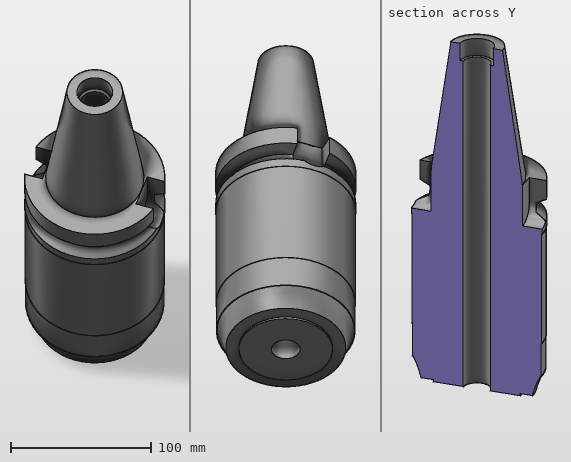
import cadquery as cq

total_height = 268.8
flange_radius = 50.0

taper_top_radius = 20.0
taper_base_radius = 35.0
taper_length = 101.3
collar_height = 1.5

flange_height = 14.8
groove_radius = 42.5
groove_cone_height = 4.0
groove_floor_height = 6.7

shoulder_height = 7.0
body_radius = 49.7

sleeve_radius = 49.5
sleeve_top_z = 43.5
nose_top_z = 17.7
nose_top_radius = 49.0
nose_mid_radius = 45.2
nose_base_radius = 42.7
pad_height = 1.5
pad_radius = 33.3

bore_radius = 10.2
counterbore_radius = 12.5
counterbore_depth = 13.5

slot_width = 25.3
slot_depth_below_flange_top = 32.3
slot_floor_x = 35.2

collar_top_z = total_height - taper_length
flange_top_z = collar_top_z - collar_height
flange_base_z = flange_top_z - flange_height
groove_top_z = flange_base_z - groove_cone_height
groove_base_z = groove_top_z - groove_floor_height
shoulder_top_z = groove_base_z - groove_cone_height
shoulder_base_z = shoulder_top_z - shoulder_height


def revolved_body():
    """Solid of revolution about Z, with a concave nose."""
    nose_mid_z = (pad_height + nose_top_z) / 2
    return (
        cq.Workplane("XZ")
        .moveTo(0, 0)
        .lineTo(pad_radius, 0)
        .lineTo(pad_radius, pad_height)
        .lineTo(nose_base_radius, pad_height)
        .threePointArc((nose_mid_radius, nose_mid_z), (nose_top_radius, nose_top_z))
        .lineTo(sleeve_radius, nose_top_z)
        .lineTo(sleeve_radius, sleeve_top_z)
        .lineTo(body_radius, sleeve_top_z)
        .lineTo(body_radius, shoulder_base_z)
        .lineTo(flange_radius, shoulder_base_z)
        .lineTo(flange_radius, shoulder_top_z)
        .lineTo(groove_radius, groove_base_z)
        .lineTo(groove_radius, groove_top_z)
        .lineTo(flange_radius, flange_base_z)
        .lineTo(flange_radius, flange_top_z)
        .lineTo(taper_base_radius, flange_top_z)
        .lineTo(taper_base_radius, collar_top_z)
        .lineTo(taper_top_radius, total_height)
        .lineTo(0, total_height)
        .close()
        .revolve(360, (0, 0, 0), (0, 1, 0))
    )


def stepped_bore():
    """Through bore with a wider counterbore at the taper end."""
    bore = cq.Workplane("XY").circle(bore_radius).extrude(total_height)
    counterbore = (
        cq.Workplane("XY", origin=(0, 0, total_height))
        .circle(counterbore_radius)
        .extrude(-counterbore_depth)
    )
    return bore.union(counterbore)


def drive_slot(side):
    """Round-bottomed slot cutter on the -X (side = -1) or +X (side = 1) flank."""
    half_width = slot_width / 2
    slot_base_z = flange_top_z - slot_depth_below_flange_top
    return (
        cq.Workplane("YZ", origin=(side * slot_floor_x, 0, 0))
        .moveTo(-half_width, flange_top_z)
        .lineTo(-half_width, slot_base_z + half_width)
        .threePointArc((0, slot_base_z), (half_width, slot_base_z + half_width))
        .lineTo(half_width, flange_top_z)
        .close()
        .extrude(side * flange_radius)
    )


result = revolved_body().cut(stepped_bore())
for side in (-1, 1):
    result = result.cut(drive_slot(side))